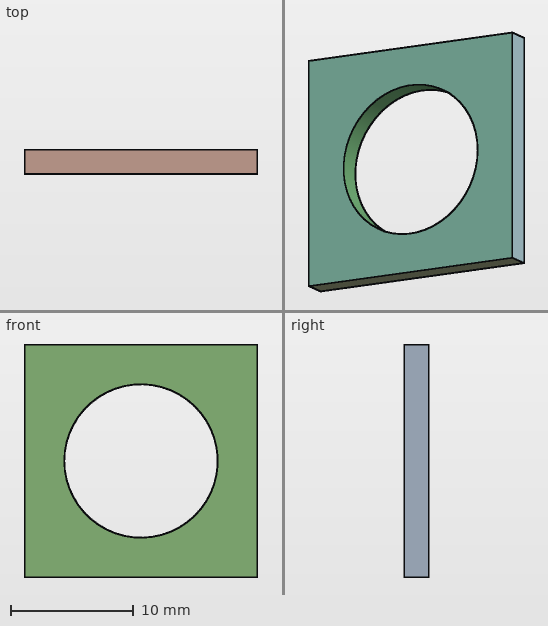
import cadquery as cq

side = 19.0
thickness = 2.0
hole_diameter = 12.5


def square_plate():
    return cq.Workplane("XY").box(side, thickness, side)


def with_central_hole(plate):
    return plate.faces("<Y").workplane(centerOption="CenterOfMass").hole(hole_diameter)


result = with_central_hole(square_plate())